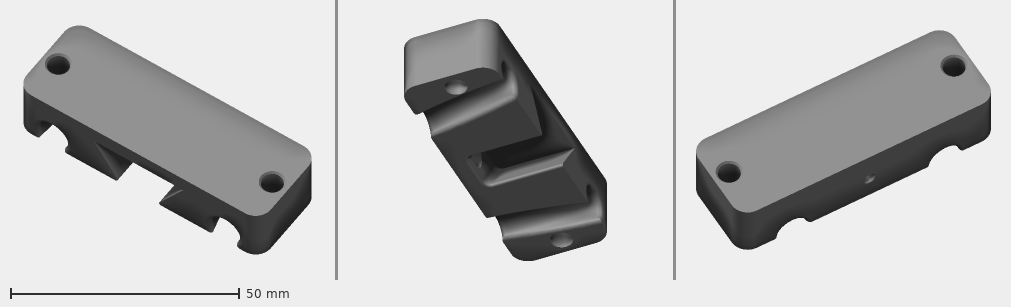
import cadquery as cq
import math

length = 65.0
width = 22.5
height = 14.0
corner_radius = 4.0
front_y = -width / 2

mount_diameter = 5.1
mount_chamfer = 0.45
mount_chamfer_angle = 45
mount_x = 28.5
mount_y = -0.8

channel_radius = 3.7
channel_x = 23.1
channel_z = 3.4
channel_drift = 3.95
channel_rounding = 1.0

pocket_top_width = 24.0
pocket_bottom_width = 10.15
pocket_height = 10.0
pocket_wall = 4.0
pocket_corner_radius = 1.6
pocket_edge_radius = 0.5
rim_margin = 0.3
pocket_depth = width - pocket_wall
pocket_back_y = front_y + pocket_depth

screw_diameter = 3.0
screw_head_diameter = 7.0
screw_z = 6.0
countersink_angle = 90


def make_block():
    block = cq.Workplane("XY").box(length, width, height, centered=(True, True, False))
    return block.edges("|Z").fillet(corner_radius)


def make_pocket():
    """Dovetail prism with rounded corners where its sides meet the back wall."""
    pocket = (
        cq.Workplane("XZ", origin=(0, front_y, 0))
        .moveTo(-pocket_bottom_width / 2, 0)
        .lineTo(pocket_bottom_width / 2, 0)
        .lineTo(pocket_top_width / 2, pocket_height)
        .lineTo(-pocket_top_width / 2, pocket_height)
        .close()
        .extrude(-pocket_depth)
    )
    return pocket.faces(">Y").edges("not |X").fillet(pocket_corner_radius)


def make_channel(side):
    """Slanted cylinder that runs past both long faces; side is -1 for left, 1 for right."""
    direction = cq.Vector(-side * channel_drift, width, -channel_drift)
    entry = cq.Vector(side * channel_x, front_y, channel_z)
    start = entry - direction
    run_count = 3
    return cq.Workplane(cq.Solid.makeCylinder(channel_radius, run_count * direction.Length, start, direction))


def cut_channels(body):
    for side in (-1, 1):
        body = body.cut(make_channel(side))
    return body.edges("%ELLIPSE").fillet(channel_rounding)


def cut_pocket(body):
    """Cut the pocket and round its rim on the underside."""
    body = body.cut(make_pocket())
    half_rim = pocket_bottom_width / 2 + rim_margin
    rim = cq.selectors.BoxSelector(
        (-half_rim, front_y + rim_margin, -rim_margin),
        (half_rim, pocket_back_y + rim_margin, rim_margin),
    )
    return body.faces("<Z").edges(rim).fillet(pocket_edge_radius)


def cut_screw_hole(body):
    wall = cq.Workplane("XZ", origin=(0, pocket_back_y, screw_z))
    hole = wall.circle(screw_diameter / 2).extrude(-pocket_wall)
    sink_depth = (screw_head_diameter - screw_diameter) / 2 / math.tan(math.radians(countersink_angle / 2))
    sink = wall.circle(screw_head_diameter / 2).extrude(-sink_depth, taper=countersink_angle / 2)
    return body.cut(hole).cut(sink)


def cut_mounting_holes(body):
    """Through holes with a chamfer at the top."""
    centres = [(-mount_x, mount_y), (mount_x, mount_y)]
    radius = mount_diameter / 2
    holes = cq.Workplane("XY").pushPoints(centres).circle(radius).extrude(height)
    chamfers = (
        cq.Workplane("XY", origin=(0, 0, height))
        .pushPoints(centres)
        .circle(radius + mount_chamfer)
        .extrude(-mount_chamfer, taper=mount_chamfer_angle)
    )
    return body.cut(holes).cut(chamfers)


body = make_block()
body = cut_channels(body)
body = cut_pocket(body)
body = cut_screw_hole(body)
result = cut_mounting_holes(body)